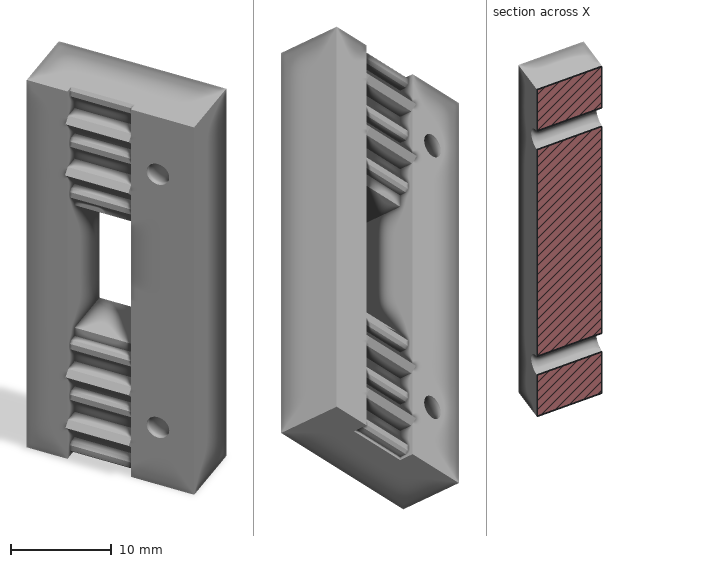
import cadquery as cq

width = 18.5
length = 45.0
total_depth = 7.87
tall_tip_projection = 0.55
block_depth = total_depth - tall_tip_projection

channel_left = 4.5
channel_width = 7.0
channel_depth = 1.65

window_length = 15.0

tooth_pitch = 3.1
tooth_width = 1.25
tooth_count = 15
top_tooth_z = length - tooth_width / 2
flat_crest_y = 0.58
flat_chamfer = 0.3
tip_y = -0.45
tall_tooth = 3
tall_tip_y = -tall_tip_projection

hole_diameter = 2.5
hole_x = 14.5
hole_spacing = 10 * tooth_pitch
lower_hole_z = 7.0


def box_from_corner(x, y, z, size_x, size_y, size_z):
    """Box whose lowest corner is at (x, y, z)."""
    return cq.Workplane("XY").box(size_x, size_y, size_z, centered=False).translate((x, y, z))


def tooth(center_z, crest_y, chamfer):
    """Tooth standing on the channel floor, with both edges of its crest chamfered."""
    half_base = tooth_width / 2
    half_crest = half_base - chamfer
    shoulder_y = crest_y + chamfer
    profile = (
        cq.Workplane("YZ", origin=(channel_left, 0, center_z))
        .moveTo(channel_depth, -half_base)
        .lineTo(shoulder_y, -half_base)
        .lineTo(crest_y, -half_crest)
    )
    if half_crest > 0:
        profile = profile.lineTo(crest_y, half_crest)
    profile = profile.lineTo(shoulder_y, half_base).lineTo(channel_depth, half_base).close()
    return profile.extrude(channel_width)


def toothed_block():
    block = box_from_corner(0, 0, 0, width, block_depth, length)
    block = block.cut(box_from_corner(channel_left, 0, 0, channel_width, channel_depth, length))
    for index in range(tooth_count):
        center_z = top_tooth_z - index * tooth_pitch
        if index % 2 == 0:
            block = block.union(tooth(center_z, flat_crest_y, flat_chamfer))
        else:
            point_y = tall_tip_y if index == tall_tooth else tip_y
            block = block.union(tooth(center_z, point_y, tooth_width / 2))
    return block


def window():
    """Opening midway along the block, through the channel floor and its teeth."""
    window_z = (length - window_length) / 2
    return box_from_corner(channel_left, tall_tip_y, window_z, channel_width, total_depth, window_length)


def screw_holes():
    centers = [(hole_x, lower_hole_z), (hole_x, lower_hole_z + hole_spacing)]
    return cq.Workplane("XZ").pushPoints(centers).circle(hole_diameter / 2).extrude(-block_depth)


result = toothed_block().cut(window()).cut(screw_holes())